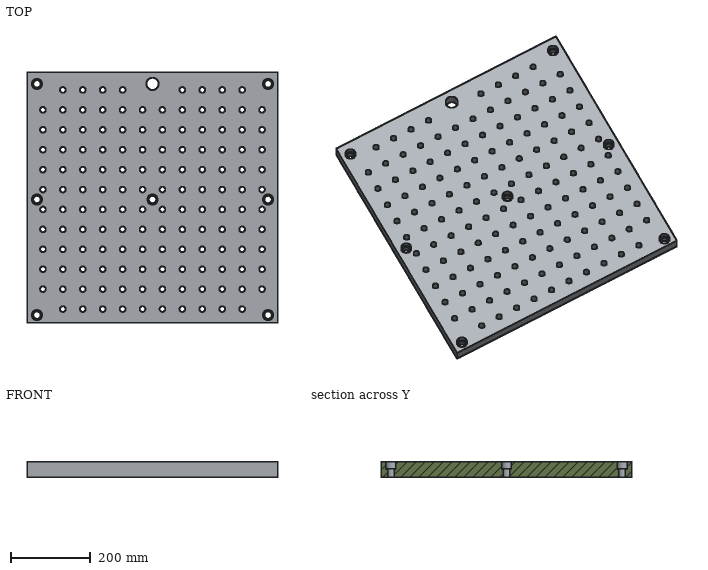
import cadquery as cq

plate_side = 630.0
plate_thickness = 40.0

layout_center_y = -5.0

grid_hole_diameter = 14.0
grid_count = 12
grid_span = 550.0
grid_pitch = grid_span / (grid_count - 1)

bolt_span = 580.0
bolt_reach = bolt_span / 2
bolt_hole_diameter = 18.0
counterbore_diameter = 26.0
counterbore_depth = 18.0

large_hole_diameter = 30.0
large_hole_point = (0, layout_center_y + bolt_reach)


def is_left_out(column, row):
    """True where a grid hole makes room for a corner bolt or the large hole."""
    last = grid_count - 1
    at_corner = column in (0, last) and row in (0, last)
    middle_columns = (last // 2, last // 2 + 1)
    beside_large_hole = row == last and column in middle_columns
    return at_corner or beside_large_hole


def grid_points():
    """Grid hole centres, counted from the -X, -Y corner."""
    points = []
    for column in range(grid_count):
        for row in range(grid_count):
            if not is_left_out(column, row):
                x = column * grid_pitch - grid_span / 2
                y = row * grid_pitch - grid_span / 2 + layout_center_y
                points.append((x, y))
    return points


def bolt_points():
    """Bolt centres: a 3 x 3 pattern without its +Y and -Y middle positions."""
    points = []
    for x in (-bolt_reach, 0, bolt_reach):
        offsets_y = (0,) if x == 0 else (-bolt_reach, 0, bolt_reach)
        for offset_y in offsets_y:
            points.append((x, layout_center_y + offset_y))
    return points


def cylinders(points, diameter, bottom_z):
    """Cutting cylinders from bottom_z up to the top face."""
    sketch = cq.Workplane("XY").workplane(offset=bottom_z).pushPoints(points)
    return sketch.circle(diameter / 2).extrude(plate_thickness - bottom_z)


plate = cq.Workplane("XY").box(plate_side, plate_side, plate_thickness, centered=(True, True, False))
plate = plate.cut(cylinders(grid_points(), grid_hole_diameter, 0))
plate = plate.cut(cylinders(bolt_points(), bolt_hole_diameter, 0))
plate = plate.cut(cylinders(bolt_points(), counterbore_diameter, plate_thickness - counterbore_depth))
plate = plate.cut(cylinders([large_hole_point], large_hole_diameter, 0))

result = plate